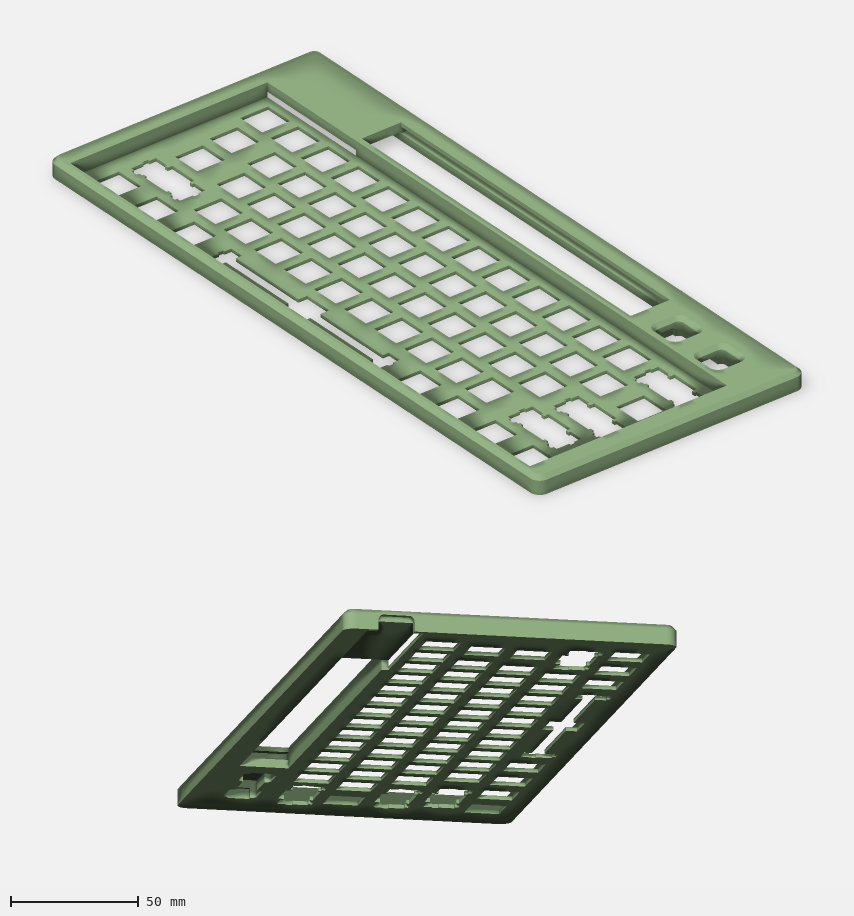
import cadquery as cq

length = 310.0
width = 134.0
height = 8.5
corner_radius = 4.5
top_chamfer = 2.0

units_per_row = 15
row_count = 5
field_length = 285.8
field_shift_x = 0.5
pitch = field_length / units_per_row
field_width = row_count * pitch
switch_size = 14.0

recess_length = 290.8
recess_margin_y = 1.5
recess_width = field_width + 2 * recess_margin_y
recess_back = 35.0
recess_center_y = recess_back - recess_width / 2
plate_thickness = 1.5

switch_rows = [
    [0.5 + i for i in range(13)],
    [0.75] + [2.0 + i for i in range(12)] + [14.25],
    [0.875] + [2.25 + i for i in range(11)],
    [2.75 + i for i in range(10)],
    [0.625, 1.875, 3.125, 10.625, 11.875, 13.125, 14.375],
]
wide_keys = [(0, 14.0), (2, 13.875), (3, 1.125), (3, 13.625)]
space_bar = (4, 6.875)

wide_stab_offset = 12.0
space_stab_offset = 50.0
stab_width = 6.8
stab_back = 5.5
stab_front = -6.8
foot_width = 3.0
foot_front = -8.0
notch_reach = 4.3
notch_back = 2.2
notch_front = -0.5
wide_link_back = 4.5
wide_link_front = -6.0
space_link_back = 2.5
space_link_front = -2.5

window_length = 170.2
window_width = 19.5
window_left = -89.3
window_back = 57.5
groove_floor = 3.5
groove_roof = 6.5
groove_overlap = 3.5

bay_left = 2.8 - length / 2
bay_roof = 4.0
port_width = 14.5
port_center_y = 46.2
port_height = 6.2
port_corner_radius = 2.2

knob_size = 13.0
knob_corner_radius = 2.32
knob_chamfer = 2.0
knob_centers_x = [99.5, 126.5]
knob_center_y = 46.2

channel_width = 8.7
channel_roof = 4.0
channel_overrun = 1.5


def block(x_range, y_range, z_range):
    """Box between the given limits along each axis."""
    (x0, x1), (y0, y1), (z0, z1) = x_range, y_range, z_range
    return cq.Workplane("XY").box(x1 - x0, y1 - y0, z1 - z0, centered=False).translate((x0, y0, z0))


def key_center(row, units):
    """Position of a key given its row and its distance along the row in key units."""
    x = field_shift_x - field_length / 2 + units * pitch
    y = recess_center_y + (row_count / 2 - 0.5 - row) * pitch
    return x, y


def plate_opening(x_range, y_range):
    """Cutter that passes through the key plate."""
    return block(x_range, y_range, (0, plate_thickness))


def switch_opening(x, y):
    half = switch_size / 2
    return plate_opening((x - half, x + half), (y - half, y + half))


def stabilized_opening(x, y, offset, link_back, link_front):
    """Switch opening joined to a stabilizer opening on each side."""
    link = plate_opening((x - offset, x + offset), (y + link_front, y + link_back))
    cutter = switch_opening(x, y).union(link)
    for side in (-1, 1):
        stab_x = x + side * offset
        half = stab_width / 2
        foot_half = foot_width / 2
        notch_x = sorted([stab_x, stab_x + side * notch_reach])
        cutter = (
            cutter
            .union(plate_opening((stab_x - half, stab_x + half), (y + stab_front, y + stab_back)))
            .union(plate_opening((stab_x - foot_half, stab_x + foot_half), (y + foot_front, y)))
            .union(plate_opening(notch_x, (y + notch_front, y + notch_back)))
        )
    return cutter


def make_body():
    return (
        cq.Workplane("XY")
        .box(length, width, height, centered=(True, True, False))
        .edges("|Z").fillet(corner_radius)
        .faces(">Z").edges().chamfer(top_chamfer)
    )


def cut_key_field(body):
    half = recess_length / 2
    recess = block((-half, half), (recess_back - recess_width, recess_back), (plate_thickness, height))
    body = body.cut(recess)
    for row, centers in enumerate(switch_rows):
        for units in centers:
            body = body.cut(switch_opening(*key_center(row, units)))
    for key in wide_keys:
        body = body.cut(
            stabilized_opening(*key_center(*key), wide_stab_offset, wide_link_back, wide_link_front)
        )
    return body.cut(
        stabilized_opening(*key_center(*space_bar), space_stab_offset, space_link_back, space_link_front)
    )


def cut_display_window(body):
    window_right = window_left + window_length
    window_front = window_back - window_width
    window = block((window_left, window_right), (window_front, window_back), (0, height))
    groove = block(
        (window_left, window_right + groove_overlap),
        (window_front, window_back + groove_overlap),
        (groove_floor, groove_roof),
    )
    return body.cut(window).cut(groove)


def cut_connector_bay(body):
    """Bay open at the bottom, joined to the recess and to the outside through the side wall."""
    bay = block((bay_left, window_left), (recess_back, window_back), (0, bay_roof))
    port = (
        block(
            (-length / 2, bay_left),
            (port_center_y - port_width / 2, port_center_y + port_width / 2),
            (0, port_height),
        )
        .edges("|X and >Z").fillet(port_corner_radius)
    )
    return body.cut(bay).cut(port)


def cut_knob_openings(body):
    for x in knob_centers_x:
        hole = (
            cq.Workplane("XY")
            .box(knob_size, knob_size, height, centered=(True, True, False))
            .edges("|Z").fillet(knob_corner_radius)
        )
        outer_size = knob_size + 2 * knob_chamfer
        flare = (
            cq.Workplane("XY")
            .box(outer_size, outer_size, height, centered=(True, True, False))
            .edges("|Z").fillet(knob_corner_radius + knob_chamfer)
            .faces("<Z").edges().chamfer(knob_chamfer)
            .translate((0, 0, height - knob_chamfer))
        )
        body = body.cut(hole.union(flare).translate((x, knob_center_y, 0)))
    end_reach = knob_size / 2 + channel_overrun
    channel = block(
        (knob_centers_x[0] - end_reach, knob_centers_x[1] + end_reach),
        (knob_center_y - channel_width / 2, knob_center_y + channel_width / 2),
        (0, channel_roof),
    )
    return body.cut(channel)


result = make_body()
result = cut_key_field(result)
result = cut_display_window(result)
result = cut_connector_bay(result)
result = cut_knob_openings(result)